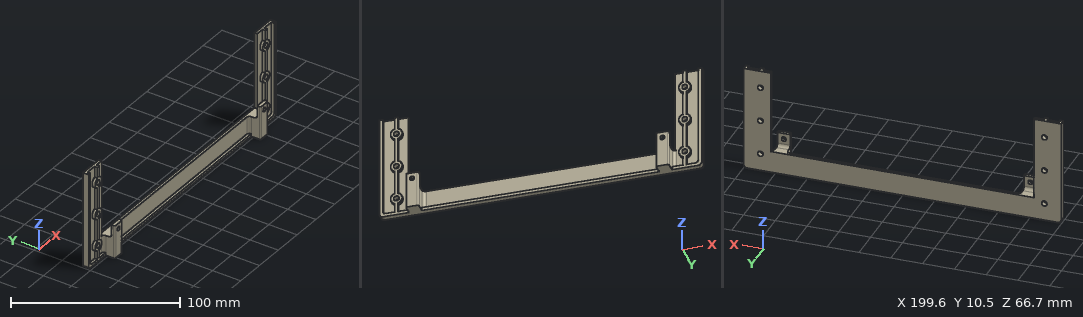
import cadquery as cq
import math

FRAME_WIDTH = 199.6
FRAME_HEIGHT = 66.72
FRAME_DEPTH = 4.0
FLOOR_THICKNESS = 2.0
LEG_WIDTH = 17.1
BAR_HEIGHT = 14.0
RIM_WIDTH = 2.0
OUTER_CORNER_RADIUS = 2.0
INNER_CORNER_RADIUS = 2.0

RIB_WIDTH = 2.0
RIB_INSET = 10.5
BOSS_DIAMETER = 7.2
SCREW_HOLE_DIAMETER = 3.2
LOWEST_SCREW_HEIGHT = 11.2
SCREW_SPACING = 22.2
SCREW_COUNT = 3

CLIP_WIDTH = 8.0
CLIP_HEIGHT = 23.0
CLIP_DEPTH = 10.5
CLIP_INSET = 22.3
CLIP_TONGUE_THICKNESS = 2.5
CLIP_EDGE_RADIUS = 1.0
CLIP_SLOT_RADIUS = 2.0
CLIP_ROOT_RADIUS = 2.0
CLIP_HOLE_DIAMETER = 2.7
CLIP_HOLE_HEIGHT = 19.2

SIDES = (-1, 1)
RIB_X = FRAME_WIDTH / 2 - RIB_INSET
CLIP_X = FRAME_WIDTH / 2 - CLIP_INSET
SCREW_HEIGHTS = [LOWEST_SCREW_HEIGHT + i * SCREW_SPACING for i in range(SCREW_COUNT)]


def box(x_range, y_range, z_range):
    """Axis-aligned box between the given limits."""
    (x0, x1), (y0, y1), (z0, z1) = x_range, y_range, z_range
    return cq.Workplane("XY").box(x1 - x0, y1 - y0, z1 - z0, centered=False).translate((x0, y0, z0))


def cylinder_along_y(x, z, diameter, depth):
    """Cylinder from the back plane to the given depth in front of it."""
    return cq.Workplane("XZ").center(x, z).circle(diameter / 2).extrude(depth)


def make_frame():
    """U-shaped plate relieved from the front, leaving a rim along its outer sides and bottom."""
    half_width = FRAME_WIDTH / 2
    plate = box((-half_width, half_width), (-FRAME_DEPTH, 0), (0, FRAME_HEIGHT))
    plate = plate.edges("|Y and <Z").fillet(OUTER_CORNER_RADIUS)

    inside = half_width - RIM_WIDTH
    relief = box((-inside, inside), (-FRAME_DEPTH, -FLOOR_THICKNESS), (RIM_WIDTH, FRAME_HEIGHT))
    relief = relief.edges("|Y and <Z").fillet(INNER_CORNER_RADIUS)

    opening_half = half_width - LEG_WIDTH
    opening = box((-opening_half, opening_half), (-FRAME_DEPTH, 0), (BAR_HEIGHT, FRAME_HEIGHT))
    return plate.cut(relief).cut(opening)


def make_leg_rib(side):
    """Full-height rib of one leg with its screw bosses, flush with the rim."""
    x = side * RIB_X
    rib = box((x - RIB_WIDTH / 2, x + RIB_WIDTH / 2), (-FRAME_DEPTH, 0), (0, FRAME_HEIGHT))
    for z in SCREW_HEIGHTS:
        rib = rib.union(cylinder_along_y(x, z, BOSS_DIAMETER, FRAME_DEPTH))
    return rib


def make_clip_root(side):
    """Flare that blends both flanks of a clip into the crossbar floor with concave arcs."""
    half = CLIP_WIDTH / 2
    flare = half + CLIP_ROOT_RADIUS
    front = -FLOOR_THICKNESS - CLIP_ROOT_RADIUS
    sag = CLIP_ROOT_RADIUS * (1 - math.cos(math.pi / 4))
    return (
        cq.Workplane("XY")
        .center(side * CLIP_X, 0)
        .moveTo(-flare, 0)
        .lineTo(-flare, -FLOOR_THICKNESS)
        .threePointArc((-half - sag, -FLOOR_THICKNESS - sag), (-half, front))
        .lineTo(half, front)
        .threePointArc((half + sag, -FLOOR_THICKNESS - sag), (flare, -FLOOR_THICKNESS))
        .lineTo(flare, 0)
        .close()
        .extrude(BAR_HEIGHT)
    )


def make_clip(side):
    """Block on the crossbar whose front tongue rises past it, leaving a slot behind the tongue."""
    x = side * CLIP_X
    x_range = (x - CLIP_WIDTH / 2, x + CLIP_WIDTH / 2)
    clip = box(x_range, (-CLIP_DEPTH, 0), (0, CLIP_HEIGHT)).edges("|Z and <Y").fillet(CLIP_EDGE_RADIUS)
    slot = box(x_range, (CLIP_TONGUE_THICKNESS - CLIP_DEPTH, 0), (BAR_HEIGHT, CLIP_HEIGHT))
    slot = slot.edges("|X and <Y and <Z").fillet(CLIP_SLOT_RADIUS)
    hole = cylinder_along_y(x, CLIP_HOLE_HEIGHT, CLIP_HOLE_DIAMETER, CLIP_DEPTH)
    return clip.cut(slot).cut(hole).union(make_clip_root(side))


def make_part():
    """Frame with ribs, bosses and clips, drilled for the screws."""
    part = make_frame()
    for side in SIDES:
        part = part.union(make_leg_rib(side)).union(make_clip(side))
    for side in SIDES:
        for z in SCREW_HEIGHTS:
            part = part.cut(cylinder_along_y(side * RIB_X, z, SCREW_HOLE_DIAMETER, FRAME_DEPTH))
    return part


result = make_part()